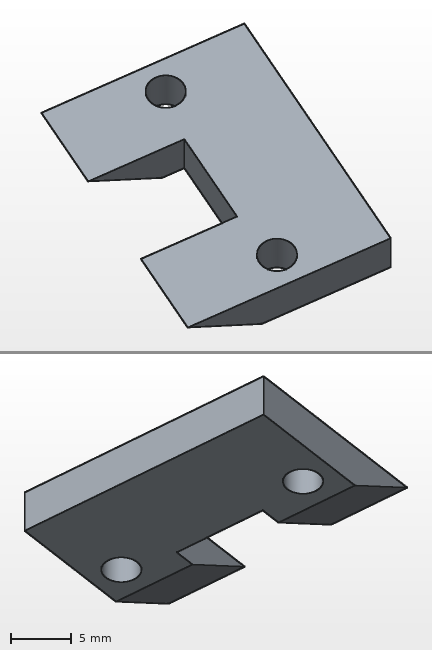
import cadquery as cq
import math

length = 25
width = 19
thickness = 4
bevel_angle = 60

notch_width = 9
notch_depth = 9

hole_diameter = 3.3
hole_spacing = 19
hole_to_back = 9

front_y = -width / 2
back_y = width / 2
bevel_run = thickness * math.tan(math.radians(bevel_angle))


def make_plate():
    """Plate with its front face undercut, so the top edge overhangs."""
    profile = [
        (back_y, 0),
        (back_y, thickness),
        (front_y, thickness),
        (front_y + bevel_run, 0),
    ]
    return cq.Workplane("YZ").polyline(profile).close().extrude(length / 2, both=True)


def make_notch():
    """Block that cuts the centred notch through the full thickness."""
    return (
        cq.Workplane("XY")
        .center(0, front_y)
        .rect(notch_width, 2 * notch_depth)
        .extrude(thickness)
    )


def make_holes():
    """Cylinders that cut the two through holes."""
    hole_y = back_y - hole_to_back
    return (
        cq.Workplane("XY")
        .pushPoints([(side * hole_spacing / 2, hole_y) for side in (-1, 1)])
        .circle(hole_diameter / 2)
        .extrude(thickness)
    )


result = make_plate().cut(make_notch()).cut(make_holes())